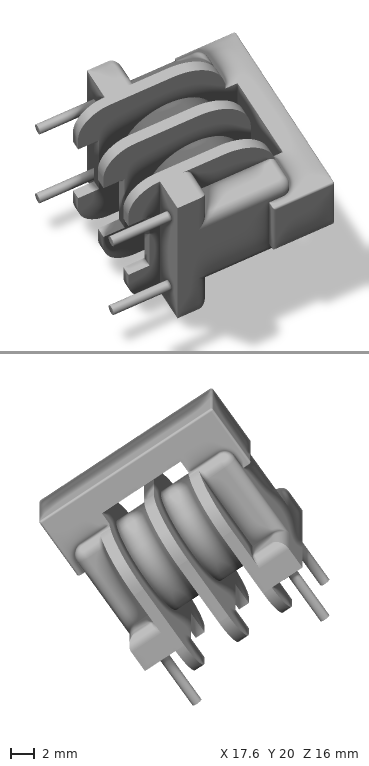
import cadquery as cq


drum_radius = 4.5
drum_half_length = 4.0

flange_thickness = 1.0
end_lip_thickness = 0.9
flange_back = 5.5
flange_front = -8.5
flange_height = 16.0
flange_back_radius = 5.0
flange_front_radius = 3.0
notch_width = 7.08
notch_depth = 2.0

block_outer_x = 8.0
block_front = -5.5
rail_height = 2 * drum_radius
post_back = -2.5
block_rounding = 1.0

pin_diameter = 0.9
pin_x = 6.5
pin_z = 5.0
pin_tip = -11.0

core_length = 17.6
core_back = 9.0
core_front = 3.2
core_height = 6.0
core_bar_thickness = 2.35
core_rounding = 0.2


def box_between(x_min, x_max, y_min, y_max, height):
    """Box with the given X and Y limits, centred on Z = 0."""
    box = cq.Workplane("XY").box(x_max - x_min, y_max - y_min, height, centered=(False, False, True))
    return box.translate((x_min, y_min, 0))


def make_flange(centre_x):
    """Rounded plate with a notch in the middle of its front edge."""
    x_min = centre_x - flange_thickness / 2
    x_max = centre_x + flange_thickness / 2
    plate = box_between(x_min, x_max, flange_front, flange_back, flange_height)
    plate = plate.edges("|X and >Y").fillet(flange_back_radius)
    plate = plate.edges("|X and <Y").fillet(flange_front_radius)
    notch = box_between(x_min, x_max, flange_front, flange_front + notch_depth, notch_width)
    return plate.cut(notch)


def make_end_flange():
    """Flange on the +X end, with its outer face set back in front of the end block."""
    flange = make_flange(drum_half_length + flange_thickness / 2)
    lip_outer_x = drum_half_length + end_lip_thickness
    relief = box_between(lip_outer_x, block_outer_x, flange_front, block_front, flange_height)
    return flange.cut(relief)


def make_rail():
    """Block along Y on the +X end, rounded on its outer and back edges."""
    rail = box_between(drum_half_length, block_outer_x, block_front, flange_back, rail_height)
    rounded_edges = rail.faces(">X").edges("|Y or >Y").add(rail.faces(">Y").edges("|X"))
    return rounded_edges.fillet(block_rounding)


def make_post():
    """Block along Z on the +X end, with its back outer edge and back end edges rounded."""
    block = box_between(drum_half_length, block_outer_x, block_front, post_back, flange_height)
    rounded_outside = block.edges("|Z and >X and >Y").fillet(block_rounding)
    rounded_ends = block.edges("|X and >Y").fillet(block_rounding)
    return rounded_outside.intersect(rounded_ends)


def make_pin(z):
    """Round terminal pin standing on the front face of the +X post."""
    pin = cq.Workplane("XZ", origin=(pin_x, block_front, z)).circle(pin_diameter / 2)
    return pin.extrude(block_front - pin_tip)


def make_end():
    """End flange, rail, post and two pins of the +X end."""
    end = make_end_flange().union(make_rail()).union(make_post())
    for z in (-pin_z, pin_z):
        end = end.union(make_pin(z))
    return end


def make_core():
    """U-shaped core with two legs toward -Y and lightly rounded outer edges."""
    half_length = core_length / 2
    core = box_between(-half_length, half_length, core_front, core_back, core_height)
    core = core.faces("<X or >X or >Y").edges().fillet(core_rounding)
    window_back = core_back - core_bar_thickness
    window = box_between(-drum_half_length, drum_half_length, core_front, window_back, core_height)
    return core.cut(window)


def make_bobbin(core):
    """Drum, middle flange and two ends as one solid, with pockets that fit the core legs."""
    bobbin = cq.Workplane("YZ", origin=(-drum_half_length, 0, 0)).circle(drum_radius)
    bobbin = bobbin.extrude(2 * drum_half_length)
    end = make_end()
    bobbin = bobbin.union(make_flange(0)).union(end).union(end.mirror("YZ"))
    return bobbin.cut(core)


core = make_core()
bobbin = make_bobbin(core)
result = cq.Compound.makeCompound([core.val(), bobbin.val()])